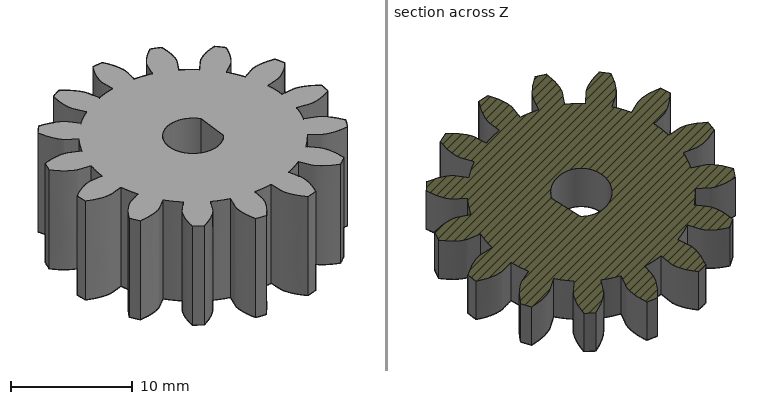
import cadquery as cq
import math

TEETH = 15
MODULE = 1.5
PRESSURE_ANGLE = math.radians(20)
FACE_WIDTH = 10.0
BORE_RADIUS = 2.5
BORE_FLAT_OFFSET = 2.0
DEDENDUM_FACTOR = 1.25
FLANK_SAMPLES = 9

pitch_radius = MODULE * TEETH / 2
tip_radius = pitch_radius + MODULE
root_radius = pitch_radius - DEDENDUM_FACTOR * MODULE
base_radius = pitch_radius * math.cos(PRESSURE_ANGLE)
tooth_pitch = 2 * math.pi / TEETH
first_tooth_angle = math.pi


def polar(radius, angle):
    return (radius * math.cos(angle), radius * math.sin(angle))


def involute_angle(radius):
    """Polar angle swept by the involute from the base circle out to a radius."""
    pressure = math.acos(min(1.0, base_radius / radius))
    return math.tan(pressure) - pressure


base_half_angle = tooth_pitch / 4 + involute_angle(pitch_radius)


def flank_points(tooth_angle, side):
    """Involute points from base to tip; side is -1 or +1 about the tooth centre line."""
    roll_at_tip = math.sqrt((tip_radius / base_radius) ** 2 - 1)
    points = []
    for i in range(FLANK_SAMPLES):
        roll = roll_at_tip * i / (FLANK_SAMPLES - 1)
        radius = base_radius * math.sqrt(1 + roll ** 2)
        half_angle = base_half_angle - involute_angle(radius)
        points.append(polar(radius, tooth_angle + side * half_angle))
    return points


def add_tooth(outline, tooth_angle):
    """Add one tooth and the root arc after it, going counterclockwise."""
    rising = flank_points(tooth_angle, -1)
    falling = flank_points(tooth_angle, 1)[::-1]
    gap_centre = tooth_angle + tooth_pitch / 2
    next_root = tooth_angle + tooth_pitch - base_half_angle

    outline = outline.lineTo(*rising[0])
    outline = outline.spline(rising[1:], includeCurrent=True)
    outline = outline.threePointArc(polar(tip_radius, tooth_angle), falling[0])
    outline = outline.spline(falling[1:], includeCurrent=True)
    outline = outline.lineTo(*polar(root_radius, tooth_angle + base_half_angle))
    return outline.threePointArc(polar(root_radius, gap_centre), polar(root_radius, next_root))


def make_gear_blank():
    start = polar(root_radius, first_tooth_angle - base_half_angle)
    outline = cq.Workplane("XY").moveTo(*start)
    for tooth in range(TEETH):
        outline = add_tooth(outline, first_tooth_angle + tooth * tooth_pitch)
    return outline.close().extrude(FACE_WIDTH)


def make_bore():
    flat_half_width = math.sqrt(BORE_RADIUS ** 2 - BORE_FLAT_OFFSET ** 2)
    return (
        cq.Workplane("XY")
        .moveTo(-flat_half_width, BORE_FLAT_OFFSET)
        .threePointArc((0, -BORE_RADIUS), (flat_half_width, BORE_FLAT_OFFSET))
        .close()
        .extrude(FACE_WIDTH)
    )


result = make_gear_blank().cut(make_bore())